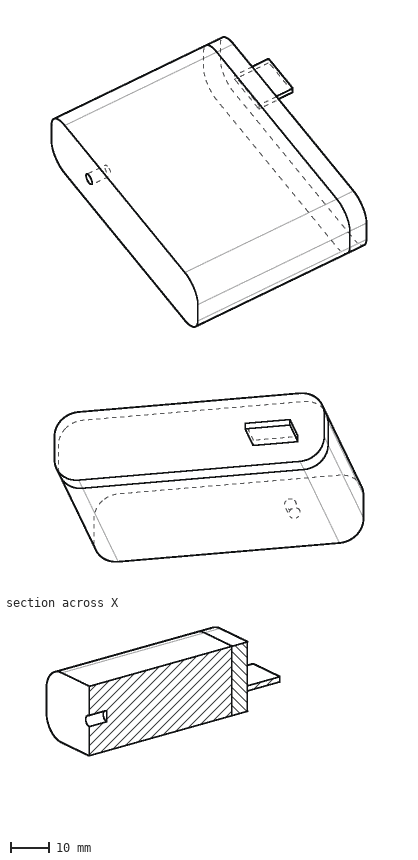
import cadquery as cq

width = 72.1
thickness = 19.7
corner_radius = 6.5
housing_depth = 47.0
lid_depth = 5.2

hole_diameter = 3.0
hole_depth = 5.8
hole_x = -17.5

tab_width = 12.0
tab_length = 10.6
tab_thickness = 1.6
tab_x = -23.1
tab_z = -3.3


def rounded_block(front_y, depth):
    """Block with four rounded edges along Y, starting at front_y."""
    return (
        cq.Workplane("XY")
        .box(width, depth, thickness, centered=(True, False, True))
        .edges("|Y")
        .fillet(corner_radius)
        .translate((0, front_y, 0))
    )


def front_hole():
    """Cylinder running back from the front face at mid thickness."""
    return (
        cq.Workplane("XZ")
        .center(hole_x, 0)
        .circle(hole_diameter / 2)
        .extrude(-hole_depth)
    )


def make_housing():
    return rounded_block(0, housing_depth).cut(front_hole())


def make_lid():
    return rounded_block(housing_depth, lid_depth)


def make_tab():
    return (
        cq.Workplane("XY")
        .box(tab_width, tab_length, tab_thickness, centered=(True, False, True))
        .translate((tab_x, housing_depth + lid_depth, tab_z))
    )


housing = make_housing()
lid = make_lid()
tab = make_tab()

result = cq.Compound.makeCompound([housing.val(), lid.val(), tab.val()])